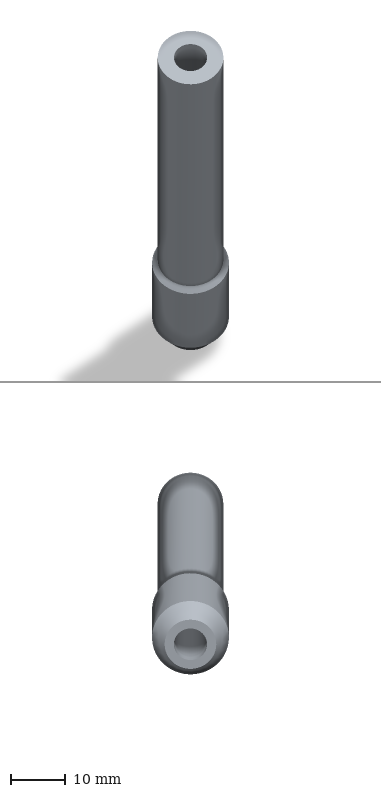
import cadquery as cq
import math

total_length = 85.0
tube_diameter = 12.0
bore_diameter = 6.0
collar_diameter = 14.0
collar_top = 21.85
nose_height = 4.0
nose_half_angle = 30.0

tube_radius = tube_diameter / 2
bore_radius = bore_diameter / 2
collar_radius = collar_diameter / 2
shoulder_height = collar_radius - tube_radius
tip_radius = collar_radius - nose_height * math.tan(math.radians(nose_half_angle))

half_section = [
    (bore_radius, 0),
    (tip_radius, 0),
    (collar_radius, nose_height),
    (collar_radius, collar_top - shoulder_height),
    (tube_radius, collar_top),
    (tube_radius, total_length),
    (bore_radius, total_length),
]

result = (
    cq.Workplane("XZ")
    .polyline(half_section)
    .close()
    .revolve(360, (0, 0), (0, 1))
)